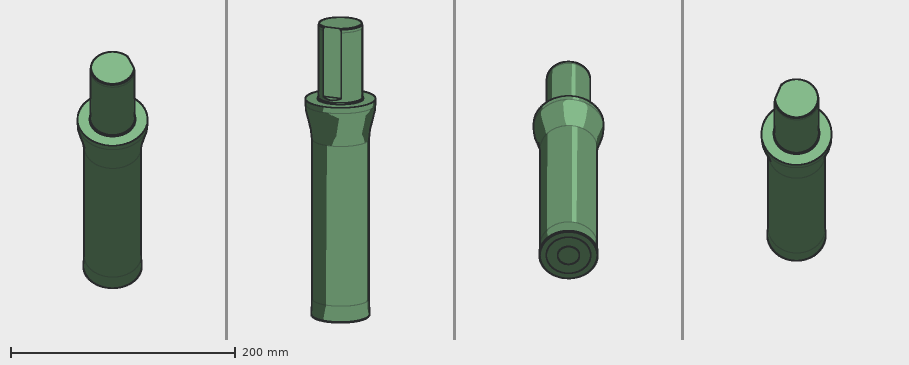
import cadquery as cq

overall_length = 271.0
tip_height = 0.5
foot_chamfer_top = 1.5
foot_top = 16.3
flare_start = 164.0
rim_base = 196.0
sleeve_top = 201.0
lip_height = 1.4

barrel_radius = 51.2 / 2
foot_radius = 26.3
foot_chamfer = 0.8
flange_radius = 62.5 / 2
lip_base_radius = 20.5
lip_top_radius = 40.0 / 2

shaft_radius = 39.5 / 2
shoulder_radius = 39.0 / 2
shaft_end_radius = 19.0
tip_radius = 9.8
end_chamfer_height = 1.0
lead_in_height = 3.5
flat_offset = 17.5
flat_runout_end = sleeve_top + 3.3
flat_runout = shaft_radius - flat_offset


def revolve_about_z(profile):
    """Revolve a closed (radius, height) outline about the Z axis."""
    return profile.close().revolve(360, (0, 0, 0), (0, 1, 0))


def make_foot_profile():
    """Lower sleeve outline, from the bore edge up the curved foot to the barrel."""
    foot_length = foot_top - foot_chamfer_top
    foot_flare = foot_radius - barrel_radius
    foot_middle = (barrel_radius + foot_flare / 4, foot_top - foot_length / 2)
    return (
        cq.Workplane("XZ")
        .moveTo(shaft_radius, tip_height)
        .lineTo(foot_radius - foot_chamfer, tip_height)
        .lineTo(foot_radius, foot_chamfer_top)
        .threePointArc(foot_middle, (barrel_radius, foot_top))
    )


def make_sleeve():
    """Barrel with a curved foot, a smooth flare, a conical lip and a through bore."""
    profile = (
        make_foot_profile()
        .lineTo(barrel_radius, flare_start)
        .spline(
            [(flange_radius, rim_base)],
            tangents=[(0, 1), (0, 1)],
            includeCurrent=True,
        )
        .lineTo(flange_radius, sleeve_top)
        .lineTo(lip_base_radius, sleeve_top)
        .lineTo(lip_top_radius, sleeve_top + lip_height)
        .lineTo(shaft_radius, sleeve_top + lip_height)
    )
    return revolve_about_z(profile)


def make_flat_cutter():
    """Prism that cuts the +Y flat and its 45 degree runout just above the sleeve."""
    clearance_radius = 2 * shaft_radius
    return (
        cq.Workplane("YZ")
        .moveTo(shaft_radius, flat_runout_end)
        .lineTo(flat_offset, flat_runout_end + flat_runout)
        .lineTo(flat_offset, overall_length)
        .lineTo(clearance_radius, overall_length)
        .lineTo(clearance_radius, flat_runout_end)
        .close()
        .extrude(shaft_radius, both=True)
    )


def make_shaft():
    """Full-length shaft with a small lower tip, a tapered upper end and a flat."""
    profile = (
        cq.Workplane("XZ")
        .lineTo(tip_radius, 0)
        .lineTo(tip_radius, tip_height)
        .lineTo(shaft_radius, tip_height)
        .lineTo(shaft_radius, overall_length - lead_in_height)
        .lineTo(shoulder_radius, overall_length - end_chamfer_height)
        .lineTo(shaft_end_radius, overall_length)
        .lineTo(0, overall_length)
    )
    return revolve_about_z(profile).cut(make_flat_cutter())


sleeve = make_sleeve()
shaft = make_shaft()

result = cq.Compound.makeCompound([sleeve.val(), shaft.solids().val()])